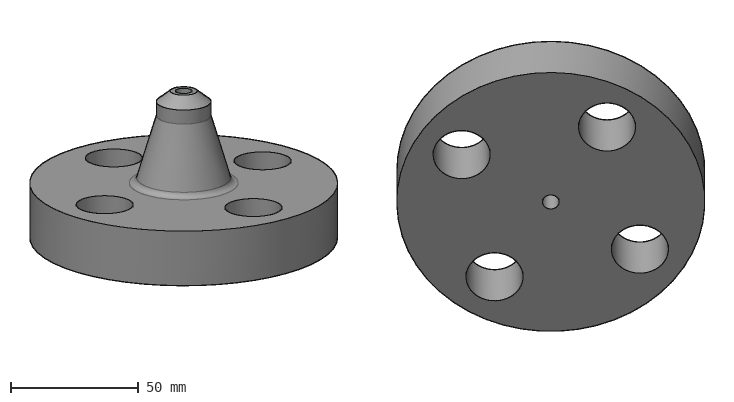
import cadquery as cq

flange_diameter = 120.6
flange_thickness = 22.5

bolt_count = 4
bolt_hole_diameter = 22.3
bolt_circle_diameter = 82.5

overall_height = 60.4
hub_base_diameter = 38.1
hub_fillet_radius = 3.0
neck_diameter = 21.5
neck_length = 5.8
bevel_height = 4.3
weld_end_diameter = 10.6

bore_diameter = 6.5

neck_top_z = overall_height - bevel_height
neck_bottom_z = neck_top_z - neck_length


def make_body():
    """Flange and hub turned about Z, with a fillet where they meet."""
    half_profile = [
        (0, 0),
        (flange_diameter / 2, 0),
        (flange_diameter / 2, flange_thickness),
        (hub_base_diameter / 2, flange_thickness),
        (neck_diameter / 2, neck_bottom_z),
        (neck_diameter / 2, neck_top_z),
        (weld_end_diameter / 2, overall_height),
        (0, overall_height),
    ]
    body = cq.Workplane("XZ").polyline(half_profile).close().revolve(360, (0, 0), (0, 1))
    hub_foot = cq.selectors.RadiusNthSelector(-2)
    return body.edges("%CIRCLE").edges(hub_foot).fillet(hub_fillet_radius)


def make_bore():
    """Central hole through the full height."""
    return cq.Workplane("XY").circle(bore_diameter / 2).extrude(overall_height)


def make_bolt_holes():
    """Evenly spaced holes through the flange."""
    return (
        cq.Workplane("XY")
        .polarArray(bolt_circle_diameter / 2, 0, 360, bolt_count)
        .circle(bolt_hole_diameter / 2)
        .extrude(flange_thickness)
    )


result = make_body().cut(make_bore()).cut(make_bolt_holes())